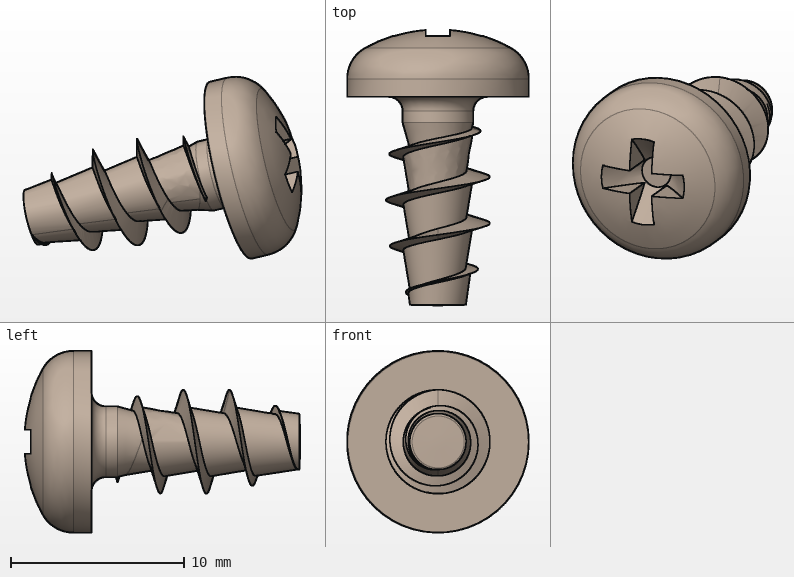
import cadquery as cq
import math


head_radius = 5.25
rim_height = 1.05
rim_edge_radius = 0.05
shoulder_radius = 2.04
dome_radius = 8.65

recess_wing_width = 1.38
recess_radius = 2.92
recess_floor_radius = 0.9
recess_floor_height = 1.5

shank_length = 12.0
neck_radius = 2.05
neck_fillet = 0.8
neck_depth = 1.47
neck_cone_slope = 0.28
tip_radius = 1.62
tip_slope = 0.14
tip_face_radius = 1.5
tip_edge_slope = 0.25
tip_point_height = 0.03

pitch = 2.67
flank_angle = 15.0
thread_radius = 3.0
lead_in_turns = 0.25
lead_in_depth = 1.94
lead_in_drop = lead_in_depth - neck_depth
full_start_depth = 4.02
lead_in_slope = 0.26
full_end_depth = 7.95
run_out_slope = 0.345
thread_base_radius = 1.2

core_radius = 2.04
core_slope = 0.167
winding_start_depth = 0.9
core_first_turn = -1
core_last_turn = 5

points_per_turn = 16


def revolve(profile):
    """Turn a closed half-profile in the XY plane about the Y axis."""
    return profile.close().revolve(360, (0, 0, 0), (0, 1, 0))


def helix_depth(turn):
    """Depth of the regular, constant-pitch helix."""
    return lead_in_depth + pitch * (turn - lead_in_turns)


def thread_depth(turn):
    """Depth of the thread crest, with the pitch growing to its full value over the lead-in."""
    if turn >= lead_in_turns:
        return helix_depth(turn)
    full_drop = pitch * lead_in_turns
    part = turn / lead_in_turns
    start_rate = 2 * lead_in_drop - full_drop
    return neck_depth + start_rate * part + (lead_in_drop - start_rate) * part**2


def crest_radius(depth):
    """The crest rises from the neck, stays at full radius, then runs out towards the tip."""
    lead_in = thread_radius - lead_in_slope * (full_start_depth - depth)
    run_out = thread_radius - run_out_slope * (depth - full_end_depth)
    return min(lead_in, thread_radius, run_out)


def thread_section(turn):
    """Sharp triangular thread section as (radius, depth) points."""
    depth = thread_depth(turn)
    crest = crest_radius(depth)
    half_base = (crest - thread_base_radius) * math.tan(math.radians(flank_angle))
    return [
        (crest, depth),
        (thread_base_radius, depth + half_base),
        (thread_base_radius, depth - half_base),
    ]


def point_at(turn, radius, depth):
    """Point at a radius and depth, turned about the axis from -Z towards +X."""
    angle = 2 * math.pi * turn
    return cq.Vector(radius * math.sin(angle), -depth, -radius * math.cos(angle))


def winding_edge(place, first_turn, last_turn):
    """Spline round the axis through the (radius, depth) that place gives for each turn."""
    steps = math.ceil((last_turn - first_turn) * points_per_turn)
    turns = [first_turn + (last_turn - first_turn) * step / steps for step in range(steps + 1)]
    return cq.Edge.makeSpline([point_at(turn, *place(turn)) for turn in turns])


def flat_face(points):
    return cq.Face.makeFromWires(cq.Wire.makePolygon(points, close=True))


def solid_from(faces):
    return cq.Workplane(obj=cq.Solid.makeSolid(cq.Shell.makeShell(faces)).fix())


def tip_cone_radius(depth):
    """Radius of the cone that narrows the core over its last turn."""
    return tip_radius + tip_slope * (shank_length - depth)


def core_top(turn):
    """Wide start of the sloping core, just below a thread."""
    depth = helix_depth(turn)
    return min(core_radius, tip_cone_radius(depth)), depth


def core_bottom(turn):
    """Narrow end of the sloping core, just above the next thread."""
    depth = helix_depth(turn)
    return min(core_radius - core_slope * pitch, tip_cone_radius(depth)), depth


def make_core():
    """Solid of the sloping core: a stepped helical skin closed by a helicoid at each end."""
    top_edges = []
    bottom_edges = []
    for turn in range(core_first_turn, core_last_turn + 1):
        top_edges.append(winding_edge(core_top, turn, turn + 1))
        bottom_edges.append(winding_edge(core_bottom, turn, turn + 1))
    faces = []
    for index in range(len(top_edges) - 1):
        faces.append(cq.Face.makeRuledSurface(bottom_edges[index], top_edges[index]))
        faces.append(cq.Face.makeRuledSurface(top_edges[index], bottom_edges[index + 1]))
    for turn, edge in ((core_first_turn, bottom_edges[0]), (core_last_turn, bottom_edges[-1])):
        start = point_at(turn, 0, helix_depth(turn))
        end = point_at(turn, 0, helix_depth(turn + 1))
        faces.append(cq.Face.makeRuledSurface(edge, cq.Edge.makeLine(start, end)))
        faces.append(flat_face([
            start,
            point_at(turn, *core_bottom(turn)),
            point_at(turn, *core_top(turn)),
            point_at(turn, *core_bottom(turn + 1)),
            end,
        ]))
    return solid_from(faces)


def make_head():
    """Pan head with a domed top and a cross recess."""
    shoulder_center = head_radius - shoulder_radius
    tangent_angle = math.asin(shoulder_center / (dome_radius - shoulder_radius))
    dome_center = rim_height - (dome_radius - shoulder_radius) * math.cos(tangent_angle)

    def on_shoulder(angle):
        return (
            shoulder_center + shoulder_radius * math.sin(angle),
            rim_height + shoulder_radius * math.cos(angle),
        )

    def on_dome(angle):
        return (dome_radius * math.sin(angle), dome_center + dome_radius * math.cos(angle))

    profile = (
        cq.Workplane("XY")
        .lineTo(head_radius, 0)
        .lineTo(head_radius, rim_height)
        .threePointArc(on_shoulder((tangent_angle + math.pi / 2) / 2), on_shoulder(tangent_angle))
        .threePointArc(on_dome(tangent_angle / 2), on_dome(0))
    )
    head = revolve(profile).faces("<Y").edges().fillet(rim_edge_radius)
    return head.cut(make_recess(dome_center + dome_radius))


def make_recess(apex_height):
    """Cross-shaped recess whose wing ends narrow towards the floor."""
    depth = apex_height - recess_floor_height
    floor = cq.Workplane("XZ", origin=(0, recess_floor_height, 0))
    wing_length = 2 * recess_radius
    cross = (
        floor.rect(wing_length, recess_wing_width).extrude(-depth)
        .union(floor.rect(recess_wing_width, wing_length).extrude(-depth))
    )
    wing_ends = revolve(
        cq.Workplane("XY")
        .moveTo(0, recess_floor_height)
        .lineTo(recess_floor_radius, recess_floor_height)
        .lineTo(recess_radius, apex_height)
        .lineTo(0, apex_height)
    )
    return cross.intersect(wing_ends)


def make_neck():
    """Filleted cylinder under the head, with a cone that fades into the core."""
    cone_depth = neck_depth + (neck_radius - tip_radius) / neck_cone_slope
    fillet_middle = neck_fillet * (1 - math.sqrt(0.5))
    return revolve(
        cq.Workplane("XY")
        .lineTo(neck_radius + neck_fillet, 0)
        .threePointArc((neck_radius + fillet_middle, -fillet_middle), (neck_radius, -neck_fillet))
        .lineTo(neck_radius, -neck_depth)
        .lineTo(tip_radius, -cone_depth)
        .lineTo(0, -cone_depth)
    )


def make_thread():
    """Thread solid, in stretches that meet where the crest changes its slope."""
    run_out_depth = full_end_depth + (thread_radius - tip_radius) / run_out_slope
    last_turn = lead_in_turns + (run_out_depth - lead_in_depth) / pitch
    breaks = [0, lead_in_turns]
    for depth in (full_start_depth, full_end_depth, run_out_depth):
        breaks.append(lead_in_turns + (depth - lead_in_depth) / pitch)
    faces = []
    for first, last in zip(breaks, breaks[1:]):
        edges = [
            winding_edge(lambda turn, corner=corner: thread_section(turn)[corner], first, last)
            for corner in range(3)
        ]
        for index, edge in enumerate(edges):
            faces.append(cq.Face.makeRuledSurface(edge, edges[index - 1]))
    for turn in (breaks[0], breaks[-1]):
        faces.append(flat_face([point_at(turn, *place) for place in thread_section(turn)]))
    return solid_from(faces)


def make_winding():
    """Core and thread, cut off inside the neck and at the slightly pointed tip."""
    outer_radius = 2 * thread_radius
    tip_edge_height = tip_edge_slope * (outer_radius - tip_face_radius)
    envelope = revolve(
        cq.Workplane("XY")
        .moveTo(0, -winding_start_depth)
        .lineTo(outer_radius, -winding_start_depth)
        .lineTo(outer_radius, tip_edge_height - shank_length)
        .lineTo(tip_face_radius, -shank_length)
        .lineTo(0, -shank_length - tip_point_height)
    )
    return make_core().union(make_thread()).intersect(envelope)


result = make_winding().union(make_neck()).union(make_head())